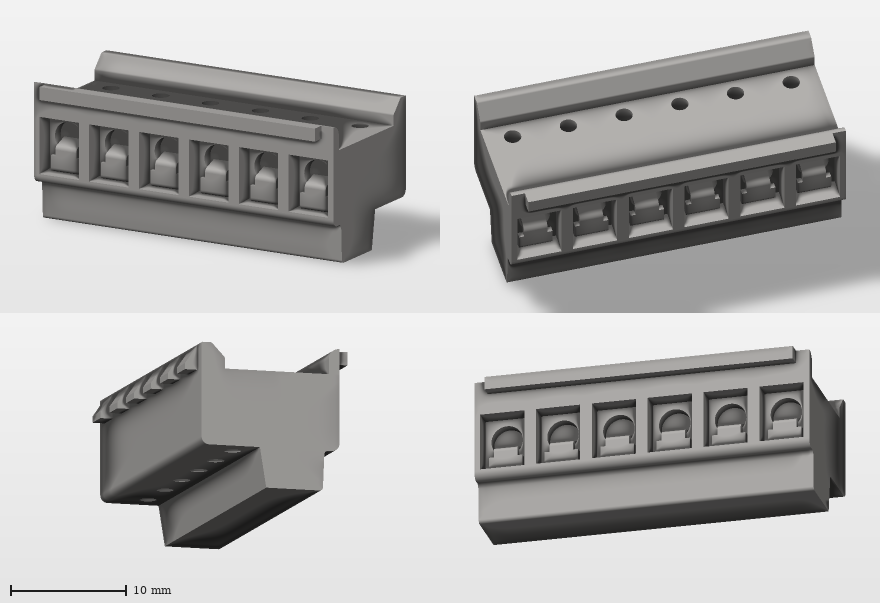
import cadquery as cq
import math


LENGTH = 30.0
HEIGHT = 12.55
POLES = 6
PITCH = LENGTH / POLES

BODY_DEPTH = 12.48
BODY_BOTTOM = 3.55
BODY_CORNER_RADIUS = 0.65
DECK_HEIGHT = 10.3
FRONT_WALL_THICKNESS = 0.95
FRONT_WALL_ROUND = 0.93
BACK_WALL_INNER = 10.38
BACK_WALL_CREST_INNER = 11.58
BACK_WALL_BEVEL_BOTTOM = 11.28
BACK_WALL_BEVEL_ROUND = 0.2
BACK_WALL_OUTER_ROUND = 0.1

FOOT_FRONT_TOP = 1.35
FOOT_FRONT_BOTTOM = 1.5
FOOT_BACK_TOP = 7.2
FOOT_BACK_BOTTOM = 6.63
FOOT_ROOT_RADIUS = 0.35
FOOT_TOE_RADIUS = 0.3

LIP_DEPTH = 1.1
LIP_BOTTOM = 11.37
LIP_END_GAP = 1.2

TAB_WIDTH = 2.37
TAB_DEPTH = 1.1
TAB_NOSE_TOP = 10.83

SCREW_HOLE_DIAMETER = 1.5
SCREW_HOLE_Y = 8.9

POCKET_WIDTH = 3.95
POCKET_SILL = 4.38
POCKET_BACK_FLOOR = 4.47
POCKET_TOP = 9.5
POCKET_DEPTH = 1.85

CAGE_WIDTH = 3.78
CAGE_FRONT = 1.7
CAGE_BOTTOM = 4.8
WIRE_HOLE_DIAMETER = 2.82
WIRE_HOLE_Z = 7.5
WIRE_HOLE_END = 2.7

CLAMP_FRONT = 1.17
CLAMP_WIDTH = 3.0
CLAMP_SHOULDER = 5.88
CLAMP_BOTTOM_RADIUS = 0.4
TONGUE_WIDTH = 2.1
TONGUE_RADIUS = 0.42
RAMP_END_HEIGHT = 7.25
RAMP_ANGLE = 20.5


def extrude_along_x(outline, x_center, width):
    """Extrude a (Y, Z) outline symmetrically about x_center."""
    return outline.extrude(width / 2, both=True).translate((x_center, 0, 0))


def box(x_center, width, y_range, z_range):
    """Box centred on x_center between the given Y and Z limits."""
    y0, y1 = y_range
    z0, z1 = z_range
    outline = cq.Workplane("YZ").moveTo(y0, z0).lineTo(y1, z0).lineTo(y1, z1).lineTo(y0, z1).close()
    return extrude_along_x(outline, x_center, width)


def make_housing():
    """Tray-shaped body with a tapered foot, the same section over the whole length."""
    outline = (
        cq.Workplane("YZ")
        .moveTo(0, BODY_BOTTOM)
        .lineTo(FOOT_FRONT_TOP, BODY_BOTTOM)
        .lineTo(FOOT_FRONT_BOTTOM, 0)
        .lineTo(FOOT_BACK_BOTTOM, 0)
        .lineTo(FOOT_BACK_TOP, BODY_BOTTOM)
        .lineTo(BODY_DEPTH, BODY_BOTTOM)
        .lineTo(BODY_DEPTH, HEIGHT)
        .lineTo(BACK_WALL_CREST_INNER, HEIGHT)
        .lineTo(BACK_WALL_INNER, BACK_WALL_BEVEL_BOTTOM)
        .lineTo(BACK_WALL_INNER, DECK_HEIGHT)
        .lineTo(FRONT_WALL_THICKNESS, DECK_HEIGHT)
        .lineTo(FRONT_WALL_THICKNESS, HEIGHT)
        .lineTo(0, HEIGHT)
        .close()
    )
    housing = extrude_along_x(outline, LENGTH / 2, LENGTH)

    def edge_at(y, z):
        return cq.selectors.NearestToPointSelector((LENGTH / 2, y, z))

    for y, z, radius in (
        (0, BODY_BOTTOM, BODY_CORNER_RADIUS),
        (BODY_DEPTH, BODY_BOTTOM, BODY_CORNER_RADIUS),
        (FOOT_FRONT_TOP, BODY_BOTTOM, FOOT_ROOT_RADIUS),
        (FOOT_FRONT_BOTTOM, 0, FOOT_TOE_RADIUS),
        (FRONT_WALL_THICKNESS, HEIGHT, FRONT_WALL_ROUND),
        (BACK_WALL_INNER, BACK_WALL_BEVEL_BOTTOM, BACK_WALL_BEVEL_ROUND),
        (BACK_WALL_CREST_INNER, HEIGHT, BACK_WALL_BEVEL_ROUND),
        (BODY_DEPTH, HEIGHT, BACK_WALL_OUTER_ROUND),
    ):
        housing = housing.edges("|X").edges(edge_at(y, z)).fillet(radius)
    return housing


def make_lip():
    """Square rail along the top of the front wall."""
    return box(LENGTH / 2, LENGTH - 2 * LIP_END_GAP, (-LIP_DEPTH, 0), (LIP_BOTTOM, HEIGHT))


def make_tab(x):
    """Wedge-shaped snap tab behind the back wall."""
    nose = BODY_DEPTH + TAB_DEPTH
    outline = (
        cq.Workplane("YZ")
        .moveTo(BODY_DEPTH, DECK_HEIGHT)
        .lineTo(nose, DECK_HEIGHT)
        .lineTo(nose, TAB_NOSE_TOP)
        .lineTo(BODY_DEPTH, HEIGHT - BACK_WALL_OUTER_ROUND)
        .close()
    )
    return extrude_along_x(outline, x, TAB_WIDTH)


def make_screw_hole(x):
    """Cutter for the vertical hole from the deck to the underside."""
    hole = cq.Workplane("XY").center(x, SCREW_HOLE_Y).circle(SCREW_HOLE_DIAMETER / 2)
    return hole.extrude(HEIGHT)


def make_pocket(x):
    """Cutter for the wire entry pocket, whose floor rises towards the back."""
    outline = (
        cq.Workplane("YZ")
        .moveTo(0, POCKET_SILL)
        .lineTo(POCKET_DEPTH, POCKET_BACK_FLOOR)
        .lineTo(POCKET_DEPTH, POCKET_TOP)
        .lineTo(0, POCKET_TOP)
        .close()
    )
    return extrude_along_x(outline, x, POCKET_WIDTH)


def make_cage(x):
    """Block filling the back of the pocket down to a small gap above its floor."""
    return box(x, CAGE_WIDTH, (CAGE_FRONT, POCKET_DEPTH), (CAGE_BOTTOM, POCKET_TOP))


def make_wire_hole(x):
    """Cutter for the round wire hole through the cage and into the housing."""
    hole = cq.Workplane("XZ").center(x, WIRE_HOLE_Z).circle(WIRE_HOLE_DIAMETER / 2)
    return hole.extrude(-WIRE_HOLE_END)


def make_clamp(x):
    """Wide clamp plate, and a narrower tongue that bends back into a rising ramp."""
    plate = box(x, CLAMP_WIDTH, (CLAMP_FRONT, POCKET_DEPTH), (POCKET_SILL, CLAMP_SHOULDER))
    plate = plate.edges("|X and <Y and <Z").fillet(CLAMP_BOTTOM_RADIUS)

    ramp_run = WIRE_HOLE_END - CLAMP_FRONT
    ramp_foot = RAMP_END_HEIGHT - ramp_run * math.tan(math.radians(RAMP_ANGLE))
    outline = (
        cq.Workplane("YZ")
        .moveTo(CLAMP_FRONT, CLAMP_SHOULDER)
        .lineTo(WIRE_HOLE_END, CLAMP_SHOULDER)
        .lineTo(WIRE_HOLE_END, RAMP_END_HEIGHT)
        .lineTo(CLAMP_FRONT, ramp_foot)
        .close()
    )
    tongue = extrude_along_x(outline, x, TONGUE_WIDTH)
    tongue = tongue.faces("<Y").edges(">Z").fillet(TONGUE_RADIUS)
    return plate.union(tongue)


result = make_housing().union(make_lip())
for pole in range(POLES):
    pole_x = (pole + 0.5) * PITCH
    result = result.union(make_tab(pole_x))
    result = result.cut(make_screw_hole(pole_x))
    result = result.cut(make_pocket(pole_x))
    result = result.union(make_cage(pole_x))
    result = result.cut(make_wire_hole(pole_x))
    result = result.union(make_clamp(pole_x))